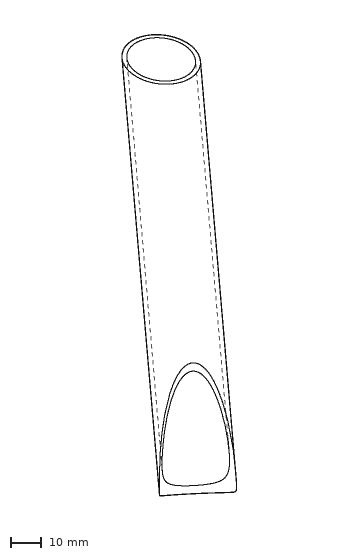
import cadquery as cq
import math


tube_radius = 12.65
wall = 1.6
post_radius = 12.72
axis_length = 146.5
lean = 34.26
heading = -13.9
upper_cut_slope = 8.6

bore_radius = tube_radius - wall
stock_margin = 4 * tube_radius
stock_length = axis_length + 2 * stock_margin
cutter_size = 2 * stock_length


def leaning_cylinder(radius):
    """Cylinder on the tube axis, overlong at both ends, leaning towards -X."""
    upright = cq.Workplane("XY").workplane(offset=-stock_margin).circle(radius).extrude(stock_length)
    return upright.rotate((0, 0, 0), (0, 1, 0), -lean)


def tube_stock():
    """Overlong straight tube."""
    return leaning_cylinder(tube_radius).cut(leaning_cylinder(bore_radius))


def post_space():
    """The post, plus everything beyond its axis on the side away from the tube."""
    post = cq.Workplane("XY").circle(post_radius).extrude(cutter_size / 2, both=True)
    far_side = cq.Workplane("XY").box(
        cutter_size, cutter_size, cutter_size, centered=(False, True, True)
    )
    return post.union(far_side)


def space_above_upper_cut():
    """Everything above the sloping plane through the upper end of the tube axis."""
    end_x = -axis_length * math.sin(math.radians(lean))
    end_z = axis_length * math.cos(math.radians(lean))
    block = cq.Workplane("XY").box(
        cutter_size, cutter_size, cutter_size, centered=(True, True, False)
    )
    sloped = block.rotate((0, 0, 0), (0, 1, 0), upper_cut_slope)
    return sloped.translate((end_x, 0, end_z))


tube = tube_stock().cut(space_above_upper_cut()).cut(post_space())
result = tube.rotate((0, 0, 0), (0, 0, 1), heading)